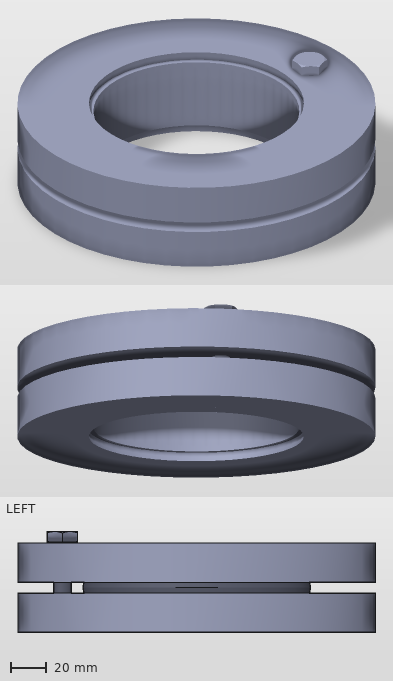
import cadquery as cq
import math

flange_diameter = 200.0
flange_thickness = 22.0
flange_gap = 6.0
stack_height = 2 * flange_thickness + flange_gap
middle_height = stack_height / 2

cone_end_diameter = 120.0
cone_crest_diameter = 127.2

ring_bore = 115.0
ring_recess = 5.0

bolt_offset = 75.0
shank_diameter = 10.0
head_height = 6.5
head_across_flats = 17.0
head_across_corners = head_across_flats / math.cos(math.radians(30))
head_top_diameter = 16.8
head_chamfer_angle = 30.0
washer_face_diameter = 15.5
washer_face_height = 0.5


def cone_radius(height):
    """Radius of the double cone at a height above the bottom face."""
    end_radius = cone_end_diameter / 2
    crest_radius = cone_crest_diameter / 2
    distance = abs(height - middle_height)
    return crest_radius - (crest_radius - end_radius) * distance / middle_height


def make_flange(base):
    """Flat ring with a conical central bore and one bolt hole."""
    top = base + flange_thickness
    outer = flange_diameter / 2
    bolt_hole = (
        cq.Workplane("XY", origin=(0, bolt_offset, base))
        .circle(shank_diameter / 2)
        .extrude(flange_thickness)
    )
    return (
        cq.Workplane("XZ")
        .moveTo(cone_radius(base), base)
        .lineTo(outer, base)
        .lineTo(outer, top)
        .lineTo(cone_radius(top), top)
        .close()
        .revolve(360, (0, 0, 0), (0, 1, 0))
        .cut(bolt_hole)
    )


def make_clamping_ring():
    """Ring with a straight bore and a double-cone outside that fits both flange bores."""
    inner = ring_bore / 2
    bottom = ring_recess
    top = stack_height - ring_recess
    return (
        cq.Workplane("XZ")
        .moveTo(inner, bottom)
        .lineTo(cone_radius(bottom), bottom)
        .lineTo(cone_radius(middle_height), middle_height)
        .lineTo(cone_radius(top), top)
        .lineTo(inner, top)
        .close()
        .revolve(360, (0, 0, 0), (0, 1, 0))
    )


def make_head_envelope():
    """Cylinder with a conical top edge that rounds off the hexagon corners."""
    corner_radius = head_across_corners / 2
    top_radius = head_top_diameter / 2
    chamfer_drop = (corner_radius - top_radius) * math.tan(math.radians(head_chamfer_angle))
    return (
        cq.Workplane("XZ")
        .lineTo(corner_radius, 0)
        .lineTo(corner_radius, head_height - chamfer_drop)
        .lineTo(top_radius, head_height)
        .lineTo(0, head_height)
        .close()
        .revolve(360, (0, 0, 0), (0, 1, 0))
    )


def make_bolt():
    """Hexagon bolt through both flanges, with a washer face under its head."""
    hexagon = (
        cq.Workplane("XY", origin=(0, 0, washer_face_height))
        .polygon(6, head_across_corners)
        .extrude(head_height - washer_face_height)
    )
    washer_face = cq.Workplane("XY").circle(washer_face_diameter / 2).extrude(washer_face_height)
    shank = cq.Workplane("XY").circle(shank_diameter / 2).extrude(-stack_height)
    head = hexagon.intersect(make_head_envelope())
    return head.union(washer_face).union(shank).translate((0, bolt_offset, stack_height))


flanges = [make_flange(base) for base in (0, flange_thickness + flange_gap)]
clamping_ring = make_clamping_ring()
bolt = make_bolt()

result = cq.Compound.makeCompound(
    [*[flange.val() for flange in flanges], clamping_ring.val(), bolt.val()]
)